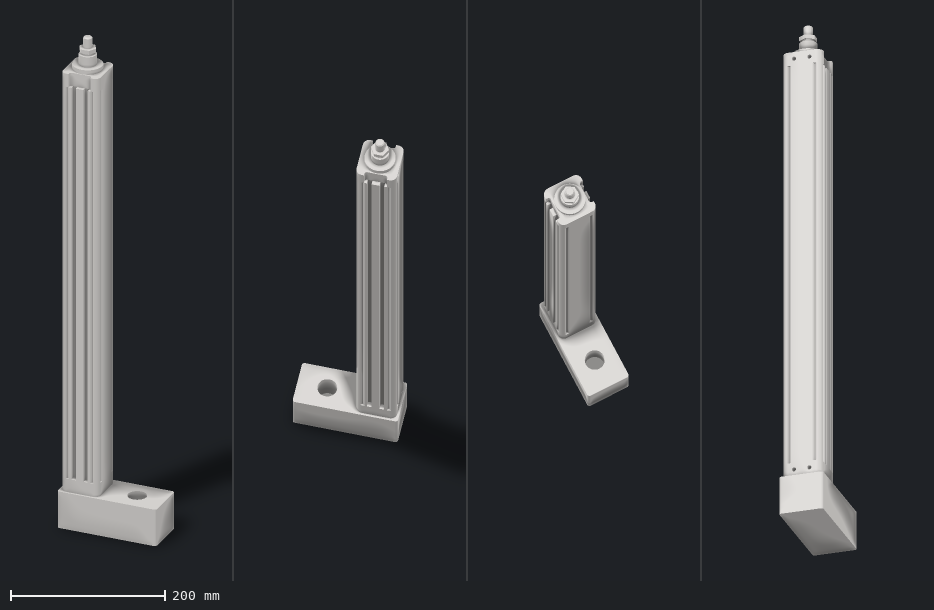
import cadquery as cq

BASE_LENGTH = 140.0
BASE_WIDTH = 60.0
BASE_HEIGHT = 52.5
BASE_CORNER_RADIUS = 3.5
BASE_HOLE_DIAMETER = 26.0
BASE_HOLE_DEPTH = 35.0
BASE_HOLE_X = 70.0

BODY_SIDE = 54.0
BODY_CORNER_RADIUS = 8.5
BODY_TOP = 655.5
CAP_HEIGHT = 19.0
PROFILE_BOTTOM = BASE_HEIGHT + CAP_HEIGHT
PROFILE_TOP = BODY_TOP - CAP_HEIGHT
HALF_SIDE = BODY_SIDE / 2

CORNER_GROOVE_WIDTH = 5.5
CORNER_GROOVE_DEPTH = 3.15
CORNER_GROOVE_OFFSET = 17.5

RIB_WIDTH = 10.5
SLOT_WIDTH = 6.0
SLOT_DEPTH = 7.0
SLOT_OFFSET = (RIB_WIDTH + SLOT_WIDTH) / 2

RECESS_WIDTH = 31.0
RECESS_DEPTH = 5.5
RECESS_CORNER_RADIUS = 3.5

SCREW_DIAMETER = 5.5
SCREW_DEPTH = 10.0
SCREW_SPACING = 21.0

COLLAR_DIAMETER = 41.0
COLLAR_TOP = 662.0
ROD_DIAMETER = 24.0
ROD_TOP = 676.5
NECK_DIAMETER = 17.0
NUT_ACROSS_CORNERS = 24.0
NUT_BOTTOM = 680.0
NUT_TOP = 685.5
STUD_DIAMETER = 12.0
STUD_TOP = 701.0
STUD_CHAMFER = 1.5


def block(x_size, y_size, x_center, y_center, bottom, top):
    """Upright box given by its plan size, plan centre and Z range."""
    return (
        cq.Workplane("XY", origin=(x_center, y_center, bottom))
        .rect(x_size, y_size)
        .extrude(top - bottom)
    )


def cylinder(diameter, bottom, top):
    """Upright cylinder on the Z axis."""
    return cq.Workplane("XY", origin=(0, 0, bottom)).circle(diameter / 2).extrude(top - bottom)


def make_base():
    center_x = (BASE_LENGTH - BASE_WIDTH) / 2
    base = block(BASE_LENGTH, BASE_WIDTH, center_x, 0, 0, BASE_HEIGHT)
    base = base.edges("|Z").fillet(BASE_CORNER_RADIUS)
    hole = cylinder(BASE_HOLE_DIAMETER, BASE_HEIGHT - BASE_HOLE_DEPTH, BASE_HEIGHT)
    return base.cut(hole.translate((BASE_HOLE_X, 0, 0)))


def corner_groove(offset):
    """Cutter for a V groove along the -Y side of the profile."""
    left = offset - CORNER_GROOVE_WIDTH / 2
    right = offset + CORNER_GROOVE_WIDTH / 2
    outline = [
        (left, -HALF_SIDE),
        (offset, -HALF_SIDE - CORNER_GROOVE_DEPTH),
        (right, -HALF_SIDE),
        (offset, -HALF_SIDE + CORNER_GROOVE_DEPTH),
    ]
    return (
        cq.Workplane("XY", origin=(0, 0, PROFILE_BOTTOM))
        .polyline(outline)
        .close()
        .extrude(PROFILE_TOP - PROFILE_BOTTOM)
    )


def side_slot(offset):
    """Cutter for a square slot along the -Y side of the profile."""
    return block(SLOT_WIDTH, 2 * SLOT_DEPTH, offset, -HALF_SIDE, PROFILE_BOTTOM, PROFILE_TOP)


def turned(shape, angle):
    """Shape turned about the Z axis by an angle in degrees."""
    return shape.rotate((0, 0, 0), (0, 0, 1), angle)


def cap_recess():
    """Cutter for the recess in the -Y side of the top cap."""
    recess = block(RECESS_WIDTH, 2 * RECESS_DEPTH, 0, -HALF_SIDE, PROFILE_TOP, BODY_TOP)
    return recess.edges("|Z and >Y").fillet(RECESS_CORNER_RADIUS)


def screw_holes():
    """Cutters for the screw holes in the -X side, at mid-height of each cap."""
    heights = (BASE_HEIGHT + CAP_HEIGHT / 2, BODY_TOP - CAP_HEIGHT / 2)
    points = [(y, z) for z in heights for y in (-SCREW_SPACING / 2, SCREW_SPACING / 2)]
    return (
        cq.Workplane("YZ", origin=(-HALF_SIDE, 0, 0))
        .pushPoints(points)
        .circle(SCREW_DIAMETER / 2)
        .extrude(SCREW_DEPTH)
    )


def make_body():
    body = block(BODY_SIDE, BODY_SIDE, 0, 0, BASE_HEIGHT, BODY_TOP)
    body = body.edges("|Z").fillet(BODY_CORNER_RADIUS)

    for side_angle in (0, 90, 180, 270):
        for offset in (-CORNER_GROOVE_OFFSET, CORNER_GROOVE_OFFSET):
            body = body.cut(turned(corner_groove(offset), side_angle))

    for side_angle in (0, 180):
        for offset in (-SLOT_OFFSET, SLOT_OFFSET):
            body = body.cut(turned(side_slot(offset), side_angle))
        body = body.cut(turned(cap_recess(), side_angle))

    return body.cut(screw_holes())


def make_rod_end():
    collar = cylinder(COLLAR_DIAMETER, BODY_TOP, COLLAR_TOP)
    rod = cylinder(ROD_DIAMETER, COLLAR_TOP, ROD_TOP)
    neck = cylinder(NECK_DIAMETER, ROD_TOP, NUT_BOTTOM)
    nut = (
        cq.Workplane("XY", origin=(0, 0, NUT_BOTTOM))
        .polygon(6, NUT_ACROSS_CORNERS)
        .extrude(NUT_TOP - NUT_BOTTOM)
    )
    stud = cylinder(STUD_DIAMETER, NUT_TOP, STUD_TOP).faces(">Z").chamfer(STUD_CHAMFER)
    return collar.union(rod).union(neck).union(nut).union(stud)


result = make_base().union(make_body()).union(make_rod_end())